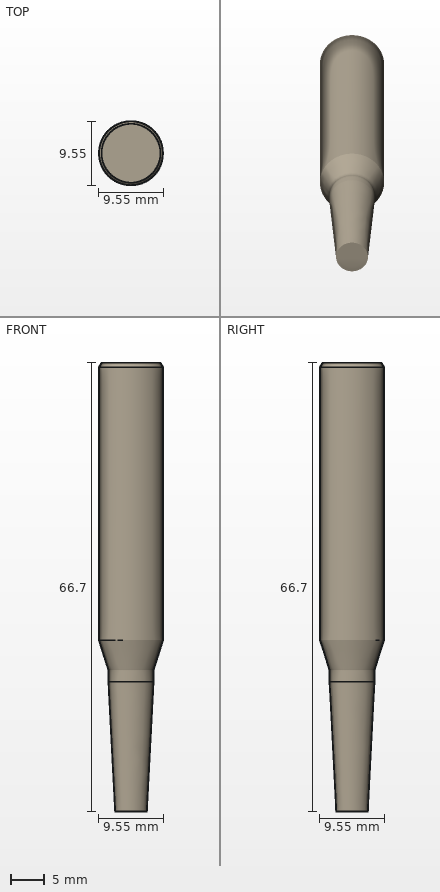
import cadquery as cq

total_length = 66.7
shank_diameter = 9.55
neck_diameter = 6.75
tip_diameter = 4.75

head_length = 19.3
neck_length = 1.8
shoulder_length = 4.4

chamfer_height = 0.7
chamfer_width = 0.4

shank_radius = shank_diameter / 2
neck_radius = neck_diameter / 2
tip_radius = tip_diameter / 2
neck_top = head_length + neck_length
shoulder_top = neck_top + shoulder_length


def revolve_about_z(profile):
    """Turn a closed (radius, height) profile about the Z axis."""
    return cq.Workplane("XZ").polyline(profile).close().revolve(360, (0, 0), (0, 1))


def make_shank():
    """Chamfered cylindrical shank that narrows through a conical shoulder to a short neck."""
    return revolve_about_z([
        (0, head_length),
        (neck_radius, head_length),
        (neck_radius, neck_top),
        (shank_radius, shoulder_top),
        (shank_radius, total_length - chamfer_height),
        (shank_radius - chamfer_width, total_length),
        (0, total_length),
    ])


def make_tapered_head():
    """Slender tapered head below the neck, with a flat tip."""
    return revolve_about_z([
        (0, 0),
        (tip_radius, 0),
        (neck_radius, head_length),
        (0, head_length),
    ])


shank = make_shank()
tapered_head = make_tapered_head()

result = cq.Compound.makeCompound([shank.val(), tapered_head.val()])